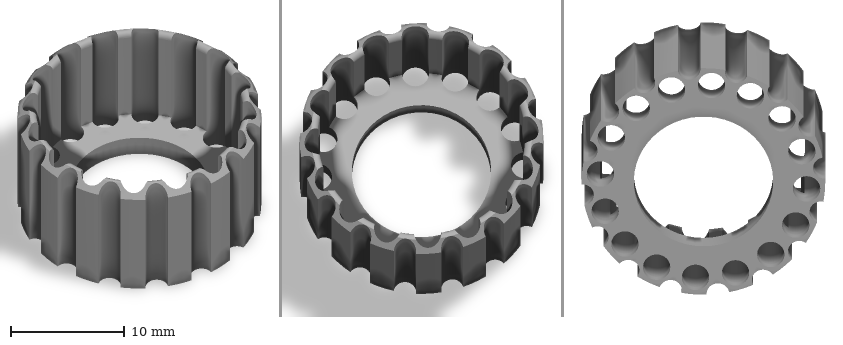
import cadquery as cq
import math

flute_count = 16
flute_pitch = 360.0 / flute_count
inner_flute_radius = 2.4 / 2
outer_flute_radius = 2.0 / 2

outer_radius = 21.5 / 2
height = 12.0
rim_chamfer = outer_flute_radius

wall_inner_radius = 18.25 / 2
floor_thickness = 2.0
rim_fillet = 0.5
bore_radius = 12.3 / 2

inner_flute_circle_radius = wall_inner_radius
outer_flute_circle_radius = outer_radius


def cup_body():
    """Revolved cup with a bored floor, a chamfered outer rim and a rounded inner rim."""
    fillet_base_z = height - rim_fillet
    fillet_top_radius = wall_inner_radius + rim_fillet
    fillet_offset = rim_fillet * math.cos(math.radians(45))
    fillet_middle = (fillet_top_radius - fillet_offset, fillet_base_z + fillet_offset)
    return (
        cq.Workplane("XZ")
        .moveTo(bore_radius, 0)
        .lineTo(outer_radius, 0)
        .lineTo(outer_radius, height - rim_chamfer)
        .lineTo(outer_radius - rim_chamfer, height)
        .lineTo(fillet_top_radius, height)
        .threePointArc(fillet_middle, (wall_inner_radius, fillet_base_z))
        .lineTo(wall_inner_radius, floor_thickness)
        .lineTo(bore_radius, floor_thickness)
        .close()
        .revolve(360, (0, 0, 0), (0, 1, 0))
    )


def flute_cutters(circle_radius, flute_radius, start_angle):
    """Full-height cylinders evenly spaced on a circle about Z."""
    return (
        cq.Workplane("XY")
        .polarArray(circle_radius, start_angle, 360, flute_count)
        .circle(flute_radius)
        .extrude(height)
    )


inner_flutes = flute_cutters(inner_flute_circle_radius, inner_flute_radius, 0)
outer_flutes = flute_cutters(outer_flute_circle_radius, outer_flute_radius, flute_pitch / 2)

result = cup_body().cut(inner_flutes).cut(outer_flutes)